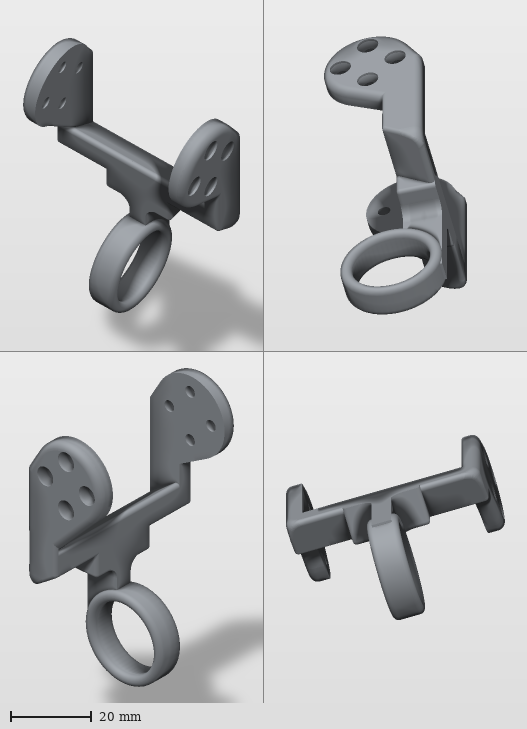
import cadquery as cq
import math


inner_gap = 41.0
arm_thickness = 4.6
depth = 10.0

hub_radius = 11.6
hub_y = -13.5
hub_z = 54.36

bar_slope = math.radians(35)
bar_height = 8.0
bar_end_radius = 5.0
right_arm_rise = 5.0

plate_width = 20.0
plate_bottom_z = 19.0
stem_width = 5.0
stem_root_radius = 3.0
stem_bottom_z = -4.0

ring_radius = 13.0
ring_bore_radius = 10.0
ring_width = 8.1
ring_round = 1.49

screw_count = 4
screw_circle_radius = 7.0
screw_radius = 1.6
screw_head_radius = 2.7
screw_head_depth = 0.6
screw_seat_depth = 1.6

arm_round = 2.0
edge_round = 1.0

half_gap = inner_gap / 2
half_width = half_gap + arm_thickness
bar_bottom_z = plate_bottom_z + depth * math.tan(bar_slope)
bar_top_z = bar_bottom_z + bar_height
bar_top_back_z = plate_bottom_z + bar_height
arm_foot_z = bar_top_back_z - edge_round

ridge_angle = math.pi / 2 - bar_slope
ridge_y = -depth + edge_round
ridge_z = bar_top_z - edge_round / math.tan(ridge_angle / 2) + edge_round

edge_axis_z = plate_bottom_z + edge_round

tolerance = 0.01


def edges_where(part, test):
    """Workplane holding the edges whose bounding box passes the test."""
    return part.newObject([edge for edge in part.edges().vals() if test(edge.BoundingBox())])


def on_front(box):
    """True for an edge lying in the front face of the bar."""
    return box.ymax < tolerance - depth


def hub_tangent(y, z, side):
    """Point where a line from (y, z) touches the hub, on the chosen side (+1 or -1)."""
    bearing = math.atan2(z - hub_z, y - hub_y)
    opening = math.acos(hub_radius / math.hypot(y - hub_y, z - hub_z))
    angle = bearing + side * opening
    return hub_y + hub_radius * math.cos(angle), hub_z + hub_radius * math.sin(angle)


def make_arm(x_start, front_touch, front_points):
    """Plain arm: rounded head, sloping sides tangent to it, and a foot inside the bar."""
    return (
        cq.Workplane("YZ", origin=(x_start, 0, 0))
        .moveTo(0, arm_foot_z)
        .lineTo(0, hub_z)
        .lineTo(*hub_tangent(0, hub_z, 1))
        .threePointArc((hub_y, hub_z + hub_radius), front_touch)
        .polyline(front_points, includeCurrent=True)
        .close()
        .extrude(arm_thickness)
    )


def round_outline(arm, side, radius):
    """Round every edge on one flat side of an arm above its front corner."""
    corner_z = bar_top_z + right_arm_rise
    outline = arm.faces(side).edges().vals()
    upper_edges = [edge for edge in outline if edge.BoundingBox().zmax > corner_z + tolerance]
    return arm.newObject(upper_edges).fillet(radius)


def make_shoulder(top_z):
    """Filler under the left arm's rounded front slope, carrying the bar's front corner upwards."""
    bulge = edge_round * math.sqrt(0.5)
    outer_x = -half_width + edge_round
    base_z = bar_top_back_z
    return (
        cq.Workplane("XY", origin=(0, 0, base_z))
        .moveTo(-half_width, -depth / 2)
        .lineTo(-half_width, ridge_y)
        .threePointArc((outer_x - bulge, ridge_y - bulge), (outer_x, -depth))
        .lineTo(outer_x + edge_round, ridge_y)
        .lineTo(outer_x + edge_round, -depth / 2)
        .close()
        .extrude(top_z - base_z)
    )


def make_left_arm():
    """Its front slope runs down into the bar's ridge and its inner edges are rounded too."""
    touch_y, touch_z = hub_tangent(ridge_y, ridge_z, -1)
    slope = (touch_z - ridge_z) / (touch_y - ridge_y)
    foot_y = -depth / 2
    foot = [(foot_y, ridge_z + slope * (foot_y - ridge_y)), (foot_y, arm_foot_z)]
    arm = make_arm(-half_width, (touch_y, touch_z), foot)
    arm = round_outline(arm, "<X", arm_round)
    arm = round_outline(arm, ">X", edge_round)
    rim = cq.Workplane("YZ", origin=(-half_gap - edge_round, hub_y, hub_z)).circle(hub_radius)
    rounding_height = arm_round * math.hypot(1, slope)
    return arm.union(rim.extrude(edge_round)).union(make_shoulder(ridge_z + rounding_height))


def make_right_arm():
    """Its front face stands flush with the bar up to a corner above the ridge."""
    corner = (-depth, bar_top_z + right_arm_rise)
    foot = (-depth, bar_bottom_z + edge_round)
    arm = make_arm(half_gap, hub_tangent(*corner, -1), [corner, foot])
    arm = round_outline(arm, ">X", arm_round)
    front_edge = edges_where(arm, lambda b: b.xmin > half_width - tolerance and on_front(b))
    return front_edge.fillet(edge_round)


def make_bar():
    """Sloping bar across the whole width, with rounded ends and edges."""
    bar = (
        cq.Workplane("YZ", origin=(-half_width, 0, 0))
        .moveTo(0, plate_bottom_z)
        .lineTo(0, bar_top_back_z)
        .lineTo(-depth, bar_top_z)
        .lineTo(-depth, bar_bottom_z)
        .close()
        .extrude(2 * half_width)
    )
    rounded_block = (
        cq.Workplane("XZ", origin=(0, 0, bar_top_z))
        .rect(2 * half_width, 2 * (bar_top_z - plate_bottom_z))
        .extrude(depth)
        .edges("|Y and <Z")
        .fillet(bar_end_radius)
    )
    bar = bar.intersect(rounded_block)
    bar = edges_where(bar, lambda b: b.ymin > -tolerance and b.zmax - b.zmin > tolerance).fillet(arm_round)
    bar = edges_where(bar, lambda b: b.zmin > bar_top_z - tolerance).fillet(edge_round)
    bar = edges_where(bar, lambda b: on_front(b) and b.xmax - b.xmin < tolerance).fillet(edge_round)
    return edges_where(bar, lambda b: on_front(b) and b.zmax < bar_bottom_z + tolerance).fillet(edge_round)


def make_plate():
    """Plate under the bar with the stem growing out of its lower edge."""
    plate = (
        cq.Workplane("XZ", origin=(0, 0, plate_bottom_z + bar_height))
        .rect(plate_width, 2 * bar_height)
        .extrude(depth)
        .edges("|Y and <Z")
        .fillet(edge_round)
    )
    plate = plate.faces("<Y").edges("not >Z").fillet(edge_round)
    inside_bar = (
        cq.Workplane("YZ", origin=(-plate_width / 2, 0, 0))
        .moveTo(0, plate_bottom_z)
        .lineTo(0, plate_bottom_z + bar_height / 2)
        .lineTo(-depth, bar_bottom_z + bar_height / 2)
        .lineTo(-depth, plate_bottom_z)
        .close()
        .extrude(plate_width)
    )
    stem = (
        cq.Workplane("XY", origin=(0, -depth / 2, stem_bottom_z))
        .rect(stem_width, depth)
        .extrude(plate_bottom_z + bar_height / 2 - stem_bottom_z)
    )
    plate = plate.intersect(inside_bar).union(stem)
    root = make_stem_root()
    return plate.union(root).union(root.mirror("YZ"))


def stem_root_profile():
    """Section of the concave web from the stem's middle to its tip under the plate."""
    x_in = stem_width / 2
    x_out = x_in + stem_root_radius
    z_low = plate_bottom_z - stem_root_radius
    mid = stem_root_radius * math.sqrt(0.5)
    return (
        cq.Workplane("XZ", origin=(0, ridge_y, 0))
        .moveTo(0, edge_axis_z)
        .lineTo(0, z_low)
        .lineTo(x_in, z_low)
        .threePointArc((x_out - mid, z_low + mid), (x_out, plate_bottom_z))
        .lineTo(x_out, edge_axis_z)
        .close()
    )


def make_stem_root():
    """Concave web on one side of the stem, following the plate's rounded front edge."""
    straight = stem_root_profile().extrude(ridge_y)
    around_edge = stem_root_profile().revolve(90, (1, edge_axis_z, 0), (0, edge_axis_z, 0))
    slab = cq.Workplane("XY").box(plate_width, 2 * depth, 2 * plate_bottom_z + bar_height)
    return straight.union(around_edge.intersect(slab))


def make_ring():
    """Finger ring with fully rounded sides."""
    ring = cq.Workplane("YZ", origin=(-ring_width / 2, -ring_radius, 0))
    ring = ring.circle(ring_radius).circle(ring_bore_radius).extrude(ring_width)
    return ring.edges().fillet(ring_round)


def make_screw_hole(side, y, z):
    """Cutter for one countersunk hole entering from an arm's outer face."""
    start = cq.Vector(side * half_width, y, z)
    inward = cq.Vector(-side, 0, 0)
    seat_start = start + inward * screw_head_depth
    shank = cq.Solid.makeCylinder(screw_radius, arm_thickness, start, inward)
    recess = cq.Solid.makeCylinder(screw_head_radius, screw_head_depth, start, inward)
    seat = cq.Solid.makeCone(screw_head_radius, screw_radius, screw_seat_depth, seat_start, inward)
    return cq.Workplane(shank).union(cq.Workplane(recess)).union(cq.Workplane(seat))


def drill_screw_holes(part):
    for side in (-1, 1):
        for index in range(screw_count):
            angle = 2 * math.pi * index / screw_count
            y = hub_y + screw_circle_radius * math.cos(angle)
            z = hub_z + screw_circle_radius * math.sin(angle)
            part = part.cut(make_screw_hole(side, y, z))
    return part


def make_part():
    part = make_bar().union(make_left_arm()).union(make_right_arm()).union(make_plate())
    finger_hole = cq.Workplane("YZ", origin=(-ring_width / 2, -ring_radius, 0))
    part = part.cut(finger_hole.circle(ring_radius - ring_round).extrude(ring_width))
    return drill_screw_holes(part.union(make_ring()))


result = make_part()